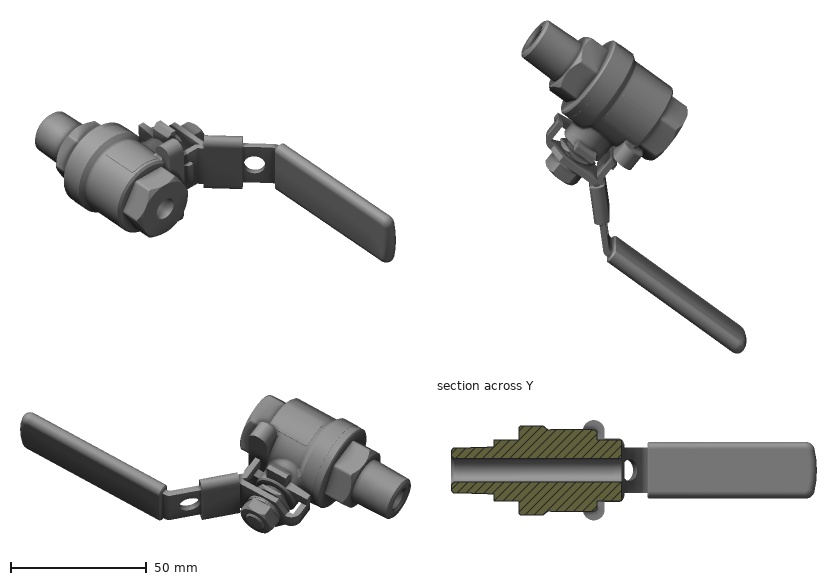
import cadquery as cq
import math


tube_end_radius = 8.4
tube_root_radius = 8.8
tube_face_radius = 15.0 / 2
tube_chamfer_length = 0.8
body_radius = 15.0
cap_radius = 33.0 / 2
flange_radius = 16.6
flange_start = 24.8
flange_seam = 28.1
flange_end = 33.8
shoulder_length = 2.0
shoulder_fillet = 0.8
neck_fillet = 1.1
body_end = 53.9
body_end_chamfer = 0.8
edge_break = 0.5
port_diameter = 8.5
entry_diameter = 10.5

hex_flats = 22.5
hex_edge_radius = 1.4
male_hex_start = 15.7
female_hex_end = 62.9

pad_height = 0.2
pad_start = 36.7
pad_length = 15.3
pad_width = 12.4
pad_corner = 1.1

lug_x = 52.6
lug_tip_radius = 4.0
lug_tip_z = 14.5
lug_bottom = 8.1
lug_top = 15.0
lug_fillet = 0.8

stem_x = 40.0
neck_diameter = 17.0
neck_top = 23.1
gland_diameter = 10.5
gland_top = 25.6
stem_diameter = 8.0
stem_top = 37.3
lock_nut_flats = 14.0
lock_nut_bottom = 25.1
lock_nut_top = 26.7
washer_diameter = 14.0
washer_top = 30.9
spring_washer_diameter = 13.8
nut_flats = 12.7
nut_bottom = 31.6
nut_top = 36.6

ear_top = 22.3
ear_reach = 13.9
ear_width = 8.4
upper_ear_tip = 20.4
upper_ear_bottom = 18.6
upper_ear_bevel = 1.9
lower_ear_bottom = 19.6
side_ear_tip = 20.0
side_ear_bottom = 19.0
left_ear_offset = 3.0
left_ear_width = 4.5
right_ear_width = 8.1
left_ear_end = 26.5
right_ear_end = 53.9
right_ear_bevel = 1.0

sheet = 2.2
lever_width = 16.7
plate_top = 30.2
plate_mid = plate_top - sheet / 2
plate_bevel_start = 30.9
plate_bevel_end = 35.1
tab_x = 27.8
tab_width = 6.1
tab_bottom = 19.8
tab_bend_radius = 4.2
arm_bend_radius = 2.5
leg_x = 51.0
leg_bottom = 17.5
leg_bend = 26.3
leg_rise = 4.0
lower_bend_x = 51.6
grip_thickness = 5.4
grip_top = 50.9
grip_mid = grip_top - grip_thickness / 2
upper_bend_x = lower_bend_x + grip_mid - plate_mid
lock_hole_diameter = 8.0
lock_hole_x = 65.1
sleeve_length = 14.3
sleeve_thickness = 5.7
sleeve_width = 23.4
slot_width = 19.5
sleeve_lead = 0.4
grip_start = 72.5
grip_end = 135.0
grip_width = 20.9
grip_bulge = 1.6
grip_corner = 3.4
grip_round = 2.5


def y_plane(height, x=stem_x):
    """Work plane across the stem: local x is X, local y is Z."""
    return cq.Workplane("XZ", origin=(x, height, 0))


def disc(diameter, bottom, top):
    return y_plane(bottom).circle(diameter / 2).extrude(bottom - top)


def cone_clip(flats, length, corner_drop):
    """Turned blank, along +Z, that chamfers the far corners of a hexagon."""
    tip = flats / 2
    root = tip + corner_drop
    return (
        cq.Workplane("XZ")
        .polyline([(0, 0), (root, 0), (root, length - corner_drop), (tip, length), (0, length)])
        .close()
        .revolve(360, (0, 0), (0, 1))
    )


def hexagon(flats, length, edge_radius=0):
    """Hexagon along +Z with corners on local X and its far corners chamfered."""
    corner = flats / math.cos(math.pi / 6)
    prism = cq.Workplane("XY").polygon(6, corner).extrude(length)
    if edge_radius:
        prism = prism.edges("|Z").fillet(edge_radius)
    return prism.intersect(cone_clip(flats, length, (corner - flats) / 2))


def upright(solid, bottom):
    """Turn a solid built along Z onto the stem axis, standing at the given height."""
    return solid.rotate((0, 0, 0), (1, 0, 0), -90).translate((stem_x, bottom, 0))


def bent_strip(points, width):
    """Sheet strip of the lever thickness, mitred at each bend of its centreline."""
    half = sheet / 2
    headings = [math.atan2(b[1] - a[1], b[0] - a[0]) for a, b in zip(points, points[1:])]
    left = []
    right = []
    for i, (x, y) in enumerate(points):
        before = headings[max(i - 1, 0)]
        after = headings[min(i, len(headings) - 1)]
        across = (before + after) / 2 + math.pi / 2
        reach = half / math.cos((after - before) / 2)
        dx = reach * math.cos(across)
        dy = reach * math.sin(across)
        left.append((x + dx, y + dy))
        right.append((x - dx, y - dy))
    return cq.Workplane("XY").polyline(left + right[::-1]).close().extrude(width / 2, both=True)


def make_body():
    profile = [
        (0, 0),
        (0, tube_face_radius),
        (tube_chamfer_length, tube_end_radius),
        (male_hex_start, tube_root_radius),
        (flange_start, tube_root_radius),
        (flange_start, cap_radius - edge_break),
        (flange_start + edge_break, cap_radius),
        (flange_seam, cap_radius),
        (flange_seam, flange_radius),
        (flange_end, flange_radius),
        (flange_end + shoulder_length, body_radius),
        (body_end - body_end_chamfer, body_radius),
        (body_end, body_radius - body_end_chamfer),
        (body_end, 0),
    ]
    body = cq.Workplane("XY").polyline(profile).close().revolve(360, (0, 0), (1, 0))
    shoulder_centre = (flange_end + shoulder_length, 0, 0)
    body = body.edges(cq.selectors.NearestToPointSelector(shoulder_centre)).fillet(shoulder_fillet)
    neck = disc(neck_diameter, 0, neck_top).faces(">Y").chamfer(edge_break)
    seam_box = cq.selectors.BoxSelector(
        (stem_x - neck_diameter, body_radius / 2, -neck_diameter),
        (stem_x + neck_diameter, flange_radius + 1.4, neck_diameter),
    )
    joined = body.union(neck)
    return joined.edges("%BSPLINE").edges(seam_box).fillet(neck_fillet)


def make_hexes():
    female_start = body_end - edge_break
    male_end = flange_start + edge_break
    blank_male = hexagon(hex_flats, male_end - male_hex_start, hex_edge_radius)
    blank_female = hexagon(hex_flats, female_hex_end - female_start, hex_edge_radius)
    blank_male = blank_male.rotate((0, 0, 0), (0, 0, 1), 90).rotate((0, 0, 0), (0, 1, 0), -90)
    blank_female = blank_female.rotate((0, 0, 0), (0, 0, 1), 90).rotate((0, 0, 0), (0, 1, 0), 90)
    male = blank_male.translate((male_end, 0, 0))
    return male.union(blank_female.translate((female_start, 0, 0)))


def make_pads():
    shell = (
        cq.Workplane("YZ", origin=(pad_start, 0, 0))
        .circle(body_radius + pad_height)
        .extrude(pad_length)
    )
    window = (
        cq.Workplane("XY", origin=(pad_start + pad_length / 2, 0, 0))
        .rect(pad_length, pad_width)
        .extrude(flange_radius, both=True)
        .edges("|Z")
        .fillet(pad_corner)
    )
    return shell.intersect(window)


def add_lugs(body):
    lugs = (
        y_plane(lug_bottom, lug_x)
        .slot2D(2 * (lug_tip_z + lug_tip_radius), 2 * lug_tip_radius, 90)
        .extrude(lug_bottom - lug_top)
    )
    joined = body.union(lugs)
    seam_z = math.sqrt(body_radius**2 - lug_bottom**2)
    seam_x = lug_x - lug_tip_radius / 2
    for z in (seam_z, -seam_z):
        seam = cq.selectors.NearestToPointSelector((seam_x, lug_bottom, z))
        joined = joined.edges("|X").edges(seam).fillet(lug_fillet)
    return joined


def make_stem():
    stem = disc(gland_diameter, neck_top, gland_top)
    stem = stem.union(disc(stem_diameter, gland_top, stem_top).faces(">Y").chamfer(edge_break))
    lock_nut = hexagon(lock_nut_flats, lock_nut_top - lock_nut_bottom)
    stem = stem.union(upright(lock_nut, lock_nut_bottom))
    stem = stem.union(disc(washer_diameter, plate_top, washer_top))
    stem = stem.union(disc(spring_washer_diameter, washer_top, nut_bottom))
    nut = hexagon(nut_flats, nut_top - nut_bottom)
    return stem.union(upright(nut, nut_bottom))


def make_stop_ears():
    ear_plane = cq.Workplane("YZ", origin=(stem_x, 0, 0))
    upper = [
        (ear_top, 0),
        (ear_top, ear_reach),
        (upper_ear_tip, ear_reach),
        (upper_ear_bottom, ear_reach - upper_ear_bevel),
        (upper_ear_bottom, 0),
    ]
    lower = [
        (ear_top, 0),
        (ear_top, -ear_reach),
        (side_ear_tip, -ear_reach),
        (lower_ear_bottom, -neck_diameter / 2),
        (lower_ear_bottom, 0),
    ]
    ears = ear_plane.polyline(upper).close().extrude(ear_width / 2, both=True)
    ears = ears.union(ear_plane.polyline(lower).close().extrude(ear_width / 2, both=True))
    left = [
        (left_ear_end, ear_top),
        (left_ear_end, side_ear_tip),
        (stem_x - ear_width / 2, side_ear_bottom),
        (stem_x, side_ear_bottom),
        (stem_x, ear_top),
    ]
    right = [
        (stem_x, ear_top),
        (right_ear_end, ear_top),
        (right_ear_end, side_ear_tip),
        (right_ear_end - right_ear_bevel, side_ear_bottom),
        (stem_x, side_ear_bottom),
    ]
    left_plane = cq.Workplane("XY", origin=(0, 0, left_ear_offset))
    ears = ears.union(left_plane.polyline(left).close().extrude(left_ear_width))
    right_ear = cq.Workplane("XY").polyline(right).close().extrude(right_ear_width / 2, both=True)
    return ears.union(right_ear)


def along_incline(distance):
    """Work plane square to the inclined strip, local x along Z."""
    step = distance * math.sqrt(0.5)
    return cq.Workplane(
        cq.Plane(
            origin=(lower_bend_x + step, plate_mid + step, 0),
            xDir=(0, 0, 1),
            normal=(1, 1, 0),
        )
    )


def make_lever():
    half_width = lever_width / 2
    half_tab = tab_width / 2
    plate = (
        y_plane(plate_top - sheet, 0)
        .polyline([
            (plate_bevel_start, half_tab),
            (plate_bevel_end, half_width),
            (lower_bend_x, half_width),
            (lower_bend_x, -half_width),
            (plate_bevel_end, -half_width),
            (plate_bevel_start, -half_tab),
        ])
        .close()
        .extrude(-sheet)
    )
    tab = bent_strip(
        [(plate_bevel_end, plate_mid), (tab_x, plate_mid), (tab_x, tab_bottom)], tab_width
    )
    tab = tab.edges("|Z and <X and >Y").fillet(tab_bend_radius)
    arm = bent_strip(
        [
            (stem_x + half_width / 2, plate_mid),
            (lower_bend_x, plate_mid),
            (upper_bend_x, grip_mid),
            (grip_start + sheet, grip_mid),
        ],
        lever_width,
    )
    upper_bend = cq.selectors.BoxSelector(
        (upper_bend_x - sheet, grip_mid - sheet, -lever_width),
        (upper_bend_x + sheet, grip_mid + sheet, lever_width),
    )
    arm = arm.edges("|Z").edges(upper_bend).fillet(arm_bend_radius)
    leg = bent_strip(
        [(leg_x, leg_bottom), (leg_x, leg_bend), (leg_x + leg_rise, leg_bend + leg_rise)],
        lever_width,
    )
    hole_distance = (lock_hole_x - lower_bend_x) * math.sqrt(2)
    lock_hole = (
        along_incline(hole_distance)
        .transformed(rotate=(90, 0, 0))
        .circle(lock_hole_diameter / 2)
        .extrude(sheet, both=True)
    )
    sleeve = (
        along_incline(sleeve_lead)
        .slot2D(sleeve_width, sleeve_thickness)
        .slot2D(slot_width, sheet)
        .extrude(sleeve_length)
    )
    return plate.union(tab).union(arm).cut(lock_hole).union(sleeve).union(leg)


def make_grip():
    half = grip_width / 2
    shoulder = grip_end - grip_bulge
    grip = (
        y_plane(grip_mid - grip_thickness / 2, 0)
        .moveTo(grip_start, -half)
        .lineTo(shoulder, -half)
        .threePointArc((grip_end, 0), (shoulder, half))
        .lineTo(grip_start, half)
        .close()
        .extrude(-grip_thickness)
    )
    grip = grip.edges("|Y").edges(">X").fillet(grip_corner)
    grip = grip.edges("(>Y or <Y) and (not <X)").fillet(grip_round)
    return grip.faces("<X").chamfer(edge_break)


def make_bore():
    port_radius = port_diameter / 2
    entry_radius = entry_diameter / 2
    return (
        cq.Workplane("XY")
        .polyline([
            (0, 0),
            (0, entry_radius),
            (entry_radius - port_radius, port_radius),
            (female_hex_end, port_radius),
            (female_hex_end, 0),
        ])
        .close()
        .revolve(360, (0, 0), (1, 0))
    )


result = add_lugs(make_body())
for feature in (
    make_hexes(),
    make_pads(),
    make_stem(),
    make_stop_ears(),
    make_lever(),
    make_grip(),
):
    result = result.union(feature)
result = result.cut(make_bore())